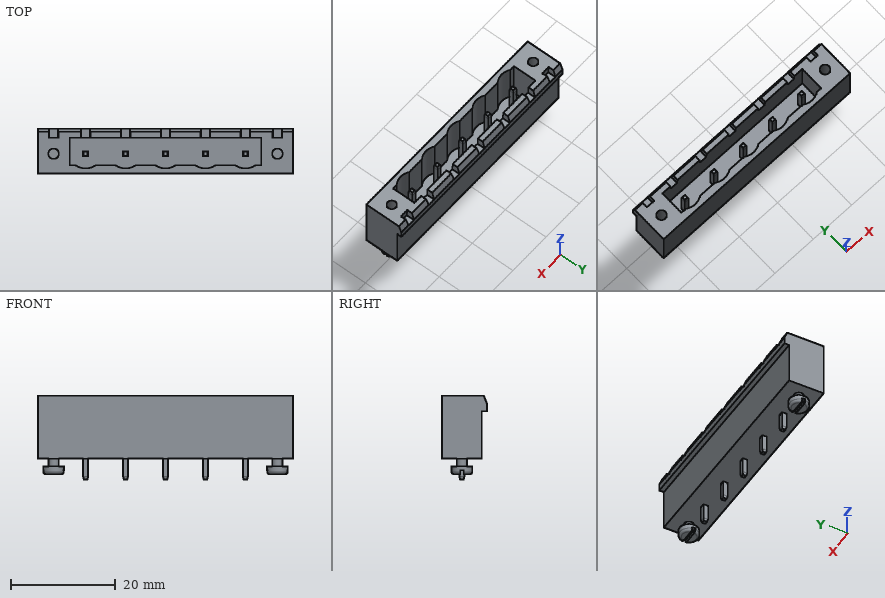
import cadquery as cq

pin_count = 5
pin_pitch = 7.62
pin_width = 1.0
pin_tip_width = 0.7
pin_taper = 0.6
pin_bottom_z = -4.0
pin_top_z = 10.0

end_margin = 9.1
length = (pin_count - 1) * pin_pitch + 2 * end_margin
height = 12.0
front_y = -3.8
body_depth = 7.6
lip_overhang = 1.0
lip_height = 3.0
lip_bevel_depth = 0.6
lip_bevel_height = 1.5
body_back_y = front_y + body_depth
lip_back_y = body_back_y + lip_overhang

cavity_end_wall = 6.1
cavity_length = length - 2 * cavity_end_wall
cavity_front_wall = 1.6
cavity_depth = 5.25
cavity_front_y = front_y + cavity_front_wall
cavity_back_y = cavity_front_y + cavity_depth
cavity_floor_z = 3.0
bulge_chord = 3.8
bulge_depth = 0.6

notch_top_width = 1.9
notch_bottom_width = 1.6
notch_depth = 1.6

screw_end_distance = 3.0
screw_x = length / 2 - screw_end_distance
screw_hole_depth = 8.0
shank_diameter = 2.0
head_diameter = 4.0
head_top_z = -1.5
head_height = 1.5
head_edge_radius = 0.5
slot_width = 0.7
slot_depth = 0.8

pin_xs = [(i - (pin_count - 1) / 2) * pin_pitch for i in range(pin_count)]
screw_xs = [-screw_x, screw_x]


def make_housing():
    """Block with an overhanging, bevelled lip along the top of its back."""
    profile = [
        (front_y, 0),
        (body_back_y, 0),
        (body_back_y, height - lip_height),
        (lip_back_y, height - lip_height),
        (lip_back_y, height - lip_bevel_height),
        (lip_back_y - lip_bevel_depth, height),
        (front_y, height),
    ]
    return cq.Workplane("YZ").polyline(profile).close().extrude(length / 2, both=True)


def make_cavity():
    """Open-topped plug cavity whose front wall bulges outwards at every pin."""
    outline = (
        cq.Workplane("XY", origin=(0, 0, cavity_floor_z))
        .moveTo(-cavity_length / 2, cavity_back_y)
        .lineTo(-cavity_length / 2, cavity_front_y)
    )
    for x in pin_xs:
        outline = outline.lineTo(x - bulge_chord / 2, cavity_front_y).threePointArc(
            (x, cavity_front_y - bulge_depth),
            (x + bulge_chord / 2, cavity_front_y),
        )
    outline = (
        outline.lineTo(cavity_length / 2, cavity_front_y)
        .lineTo(cavity_length / 2, cavity_back_y)
        .close()
    )
    return outline.extrude(height - cavity_floor_z)


def make_notch(x):
    """Tapered coding notch running from the back of the lip to the plane of the cavity back wall."""
    profile = [
        (x - notch_bottom_width / 2, height - notch_depth),
        (x + notch_bottom_width / 2, height - notch_depth),
        (x + notch_top_width / 2, height),
        (x - notch_top_width / 2, height),
    ]
    return (
        cq.Workplane("XZ", origin=(0, lip_back_y, 0))
        .polyline(profile)
        .close()
        .extrude(lip_back_y - cavity_back_y)
    )


def make_pin(x):
    """Square pin with a tapered tip at both ends."""
    shaft_bottom_z = pin_bottom_z + pin_taper
    shaft_top_z = pin_top_z - pin_taper
    shaft = (
        cq.Workplane("XY", origin=(x, 0, shaft_bottom_z))
        .rect(pin_width, pin_width)
        .extrude(shaft_top_z - shaft_bottom_z)
    )
    for tip_z, shaft_z in ((pin_bottom_z, shaft_bottom_z), (pin_top_z, shaft_top_z)):
        tip = (
            cq.Workplane("XY", origin=(x, 0, shaft_z))
            .rect(pin_width, pin_width)
            .workplane(offset=tip_z - shaft_z)
            .rect(pin_tip_width, pin_tip_width)
            .loft(ruled=True)
        )
        shaft = shaft.union(tip)
    return shaft


def make_screw_hole(x):
    """Blind hole from the top, in line with the fixing screw."""
    return (
        cq.Workplane("XY", origin=(x, 0, height - screw_hole_depth))
        .circle(shank_diameter / 2)
        .extrude(screw_hole_depth)
    )


def make_screw(x):
    """Screw below the housing: a shank and a round-edged head slotted along X."""
    head_bottom_z = head_top_z - head_height
    shank = (
        cq.Workplane("XY", origin=(x, 0, head_top_z))
        .circle(shank_diameter / 2)
        .extrude(-head_top_z)
    )
    head = (
        cq.Workplane("XY", origin=(x, 0, head_bottom_z))
        .circle(head_diameter / 2)
        .extrude(head_height)
        .faces("<Z")
        .fillet(head_edge_radius)
    )
    slot = (
        cq.Workplane("XY", origin=(x, 0, head_bottom_z))
        .rect(head_diameter, slot_width)
        .extrude(slot_depth)
    )
    return shank.union(head.cut(slot))


result = make_housing().cut(make_cavity())
for x in pin_xs + screw_xs:
    result = result.cut(make_notch(x))
for x in pin_xs:
    result = result.union(make_pin(x))
for x in screw_xs:
    result = result.cut(make_screw_hole(x)).union(make_screw(x))